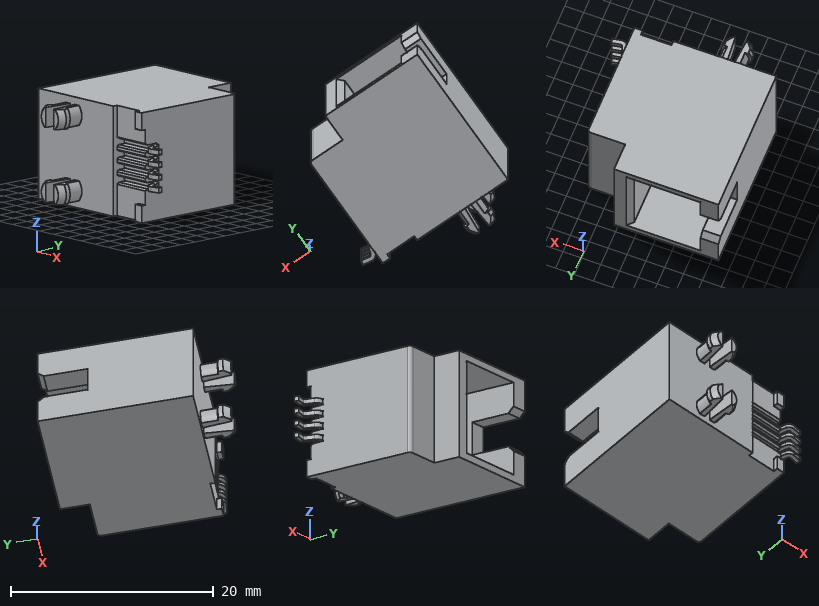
import cadquery as cq
import math


overall_length = 18.7
housing_length = 15.69
housing_height = 11.18
mouth_width = 11.07
base_width = 15.07
shoulder_y = 12.68
shoulder_radius = 0.37

wall = 1.9
cavity_depth = 11.22
cavity_height = 9.65
notch_length = 5.05
notch_height = 3.45
mouth_chamfer = 0.62

relief_x = 10.94
relief_depth = 0.5
foot_length = 0.9
foot_height = 1.78

contact_count = 4
contact_pitch = 1.27
contact_height = 0.5
contact_thickness = 0.5
contact_y = 1.72
slot_height = 0.64
slot_mouth_height = 0.97
slot_flare_depth = 0.26

tail_reach = 2.3
first_bend_x = 0.41
second_bend_y = 0.17
drop_angle = -72.0
toe_angle = 10.0
inner_bend_radius = 0.2

peg_count = 2
peg_x = 4.95
peg_spacing = 7.63
peg_length = overall_length - housing_length
peg_height = 2.02
shank_radius = 1.38
head_radius = 1.63
tip_radius = 1.23
underside_y = -1.7
head_start_y = -1.8
head_end_y = -2.3
split_base_width = 0.67
split_tip_width = 1.16


def box(x_min, x_max, y_min, y_max, height, z_center=0.0):
    """Box between X and Y limits, centred on z_center in height."""
    return (
        cq.Workplane("XY", origin=(0, 0, z_center))
        .moveTo(x_min, y_min)
        .lineTo(x_max, y_min)
        .lineTo(x_max, y_max)
        .lineTo(x_min, y_max)
        .close()
        .extrude(height / 2, both=True)
    )


def centered_positions(count, pitch):
    return [(i - (count - 1) / 2) * pitch for i in range(count)]


def make_housing():
    body = box(0, mouth_width, 0, housing_length, housing_height)
    base = box(0, base_width, 0, shoulder_y, housing_height)
    base = base.edges("|Z and >X and >Y").fillet(shoulder_radius)
    return body.union(base)


def cut_plug_opening(body):
    far_wall_x = mouth_width - wall
    cavity = box(wall, far_wall_x, housing_length - cavity_depth, housing_length, cavity_height)
    notch = box(0, wall, housing_length - notch_length, housing_length, notch_height)
    body = body.cut(cavity).cut(notch)

    far_edge = cq.selectors.NearestToPointSelector((far_wall_x, housing_length, 0))
    body = body.edges(far_edge).chamfer(mouth_chamfer)
    for side in (-1, 1):
        edge_middle = (wall / 2, housing_length, side * notch_height / 2)
        notch_edge = cq.selectors.NearestToPointSelector(edge_middle)
        body = body.edges(notch_edge).chamfer(mouth_chamfer)
    return body


def make_relief():
    relief = box(relief_x, base_width, 0, relief_depth, housing_height)
    foot_z = (housing_height - foot_height) / 2
    for side in (-1, 1):
        relief = relief.cut(
            box(base_width - foot_length, base_width, 0, relief_depth, foot_height, side * foot_z)
        )
    return relief


def make_contact_slot(z_center):
    """Straight slot down to the back of the contact, flared where it meets the relief."""
    flare_end = relief_depth + slot_flare_depth
    half_slot = slot_height / 2
    half_mouth = slot_mouth_height / 2
    slot_end = contact_y + contact_thickness / 2
    return (
        cq.Workplane("YZ", origin=(relief_x, 0, z_center))
        .moveTo(relief_depth, -half_mouth)
        .lineTo(flare_end, -half_slot)
        .lineTo(slot_end, -half_slot)
        .lineTo(slot_end, half_slot)
        .lineTo(flare_end, half_slot)
        .lineTo(relief_depth, half_mouth)
        .close()
        .extrude(base_width - relief_x)
    )


def offset_point(point, angle_in, angle_out, side):
    """Corner of the strip beside a centreline point; side is +1 above, -1 below."""
    mean = math.radians((angle_in + angle_out) / 2)
    half_turn = math.radians((angle_out - angle_in) / 2)
    reach = side * contact_thickness / 2 / math.cos(half_turn)
    return (point[0] - reach * math.sin(mean), point[1] + reach * math.cos(mean))


def make_contact(z_center):
    """Flat strip: straight along the slot, dropping outside the housing, then a rising toe."""
    toe = math.radians(toe_angle)
    first_bend = (base_width + first_bend_x, contact_y)
    drop = contact_y - second_bend_y
    second_bend = (first_bend[0] - drop / math.tan(math.radians(drop_angle)), second_bend_y)
    tip_x = base_width + tail_reach - contact_thickness / 2 * math.sin(toe)
    tip = (tip_x, second_bend[1] + (tip_x - second_bend[0]) * math.tan(toe))

    stations = [
        ((relief_x, contact_y), 0, 0),
        (first_bend, 0, drop_angle),
        (second_bend, drop_angle, toe_angle),
        (tip, toe_angle, toe_angle),
    ]
    upper = [offset_point(*station, 1) for station in stations]
    lower = [offset_point(*station, -1) for station in stations]
    strip = (
        cq.Workplane("XY", origin=(0, 0, z_center))
        .polyline(upper + lower[::-1])
        .close()
        .extrude(contact_height / 2, both=True)
    )

    outer_bend_radius = inner_bend_radius + contact_thickness
    bends = [
        (upper[1], outer_bend_radius),
        (lower[1], inner_bend_radius),
        (lower[2], outer_bend_radius),
        (upper[2], inner_bend_radius),
    ]
    for corner, radius in bends:
        bend_edge = cq.selectors.NearestToPointSelector((*corner, z_center))
        strip = strip.edges("|Z").edges(bend_edge).fillet(radius)
    return strip


def make_peg(z_center):
    """Round snap peg with a barbed head, flattened above and below and split by a widening gap."""
    peg = (
        cq.Workplane("XY", origin=(peg_x, 0, z_center))
        .lineTo(shank_radius, 0)
        .lineTo(shank_radius, underside_y)
        .lineTo(head_radius, head_start_y)
        .lineTo(head_radius, head_end_y)
        .lineTo(tip_radius, -peg_length)
        .lineTo(0, -peg_length)
        .close()
        .revolve(360, (0, 0, 0), (0, 1, 0))
    )
    flats = box(peg_x - head_radius, peg_x + head_radius, -peg_length, 0, peg_height, z_center)
    split = (
        cq.Workplane("XY", origin=(peg_x, 0, z_center))
        .moveTo(-split_base_width / 2, 0)
        .lineTo(split_base_width / 2, 0)
        .lineTo(split_tip_width / 2, -peg_length)
        .lineTo(-split_tip_width / 2, -peg_length)
        .close()
        .extrude(peg_height, both=True)
    )
    return peg.intersect(flats).cut(split)


result = cut_plug_opening(make_housing()).cut(make_relief())

for contact_z in centered_positions(contact_count, contact_pitch):
    result = result.cut(make_contact_slot(contact_z)).union(make_contact(contact_z))

for peg_z in centered_positions(peg_count, peg_spacing):
    result = result.union(make_peg(peg_z))